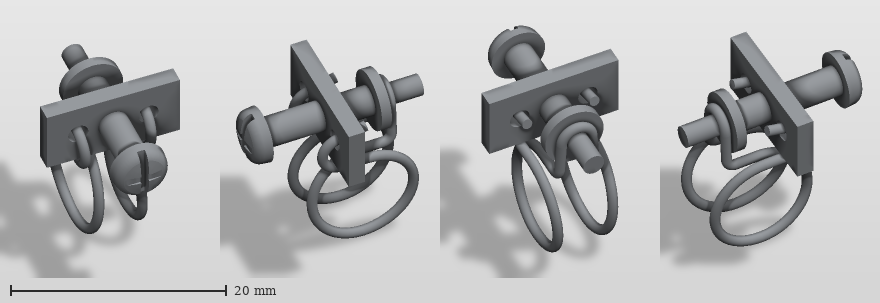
import cadquery as cq
import math


tip_radius = 1.06
shaft_radius = 1.5
collar_radius = 3.0
collar_start = 4.12
collar_thickness = 1.0
head_start = 15.98
head_radius = 2.75
flank_length = 0.86
flank_end_radius = 2.66
crown_start = 17.7
crown_start_radius = 2.03
crown_radius = 6.9
slot_width = 0.8
cross_slot_depth = 0.23

plate_start = 8.47
plate_thickness = 1.65
plate_width = 13.3
plate_height = 6.49
spring_hole_radius = 1.0
spring_hole_offset = 3.5

wire_radius = 0.5
lean = math.radians(3.8)
leg_x = collar_start - wire_radius
saddle_radius = tip_radius + wire_radius
strand_z = -4.01
leg_bend_radius = 0.92
coil_x = 6.85
coil_radius = 5.0
hook_x = 9.3
hook_radius = 2.0
tail_angle = math.radians(13.6)
tail_length = 2.88


def make_screw():
    flank_end = head_start + flank_length
    crown_sag = crown_radius - math.sqrt(crown_radius**2 - crown_start_radius**2)
    apex = crown_start + crown_sag
    half_angle = math.asin(crown_start_radius / crown_radius) / 2
    crown_middle = (
        apex - crown_radius * (1 - math.cos(half_angle)),
        crown_radius * math.sin(half_angle),
    )
    body = (
        cq.Workplane("XY")
        .lineTo(0, tip_radius)
        .lineTo(collar_start, tip_radius)
        .lineTo(collar_start, collar_radius)
        .lineTo(collar_start + collar_thickness, collar_radius)
        .lineTo(collar_start + collar_thickness, shaft_radius)
        .lineTo(head_start, shaft_radius)
        .lineTo(head_start, head_radius)
        .lineTo(flank_end, flank_end_radius)
        .tangentArcPoint((crown_start, crown_start_radius), relative=False)
        .threePointArc(crown_middle, (apex, 0))
        .close()
        .revolve(360, (0, 0, 0), (1, 0, 0))
    )
    return body.cut(make_slot(flank_end, slot_width, 2 * head_radius)).cut(
        make_slot(apex - cross_slot_depth, 2 * head_radius, slot_width)
    )


def make_slot(floor_x, width_y, width_z):
    """Cutter for a slot that is open toward +X."""
    return cq.Workplane("XY").box(
        head_radius, width_y, width_z, centered=(False, True, True)
    ).translate((floor_x, 0, 0))


def make_plate():
    return (
        cq.Workplane("YZ", origin=(plate_start, 0, 0))
        .rect(plate_width, plate_height)
        .extrude(plate_thickness)
        .cut(cq.Workplane("YZ").circle(shaft_radius).extrude(head_start))
        .cut(
            cq.Workplane("YZ")
            .pushPoints([(-spring_hole_offset, 0), (spring_hole_offset, 0)])
            .circle(spring_hole_radius)
            .extrude(head_start)
        )
    )


def make_spring_half():
    """Sweep the wire from the top of the saddle to the tail on the +Y side."""
    saddle_end_y = saddle_radius * math.cos(lean)
    saddle_end_z = saddle_radius * math.sin(lean)
    coil_bottom_z = strand_z - 2 * coil_radius * math.cos(lean)
    coil_bottom_y = saddle_end_y + (saddle_end_z - coil_bottom_z) * math.tan(lean)

    def inner(u, v):
        return cq.Vector(
            coil_x + u, coil_bottom_y - v * math.sin(lean), coil_bottom_z + v * math.cos(lean)
        )

    def outer(u, v):
        return cq.Vector(
            coil_x + u, coil_bottom_y + v * math.sin(lean), coil_bottom_z + v * math.cos(lean)
        )

    coil_top = 2 * coil_radius
    leg_u = leg_x - coil_x
    hook_u = hook_x - coil_x
    saddle_v = (saddle_end_z - coil_bottom_z) / math.cos(lean)

    saddle_top = cq.Vector(leg_x, 0, saddle_radius)
    saddle_half_angle = (math.pi / 2 - lean) / 2
    saddle_middle = cq.Vector(
        leg_x,
        saddle_radius * math.sin(saddle_half_angle),
        saddle_radius * math.cos(saddle_half_angle),
    )
    saddle_end = inner(leg_u, saddle_v)
    bend_start = inner(leg_u, coil_top + leg_bend_radius)
    bend_inset = leg_bend_radius * (1 - math.sqrt(0.5))
    bend_middle = inner(leg_u + bend_inset, coil_top + bend_inset)
    bend_end = inner(leg_u + leg_bend_radius, coil_top)
    coil_start = inner(0, coil_top)
    coil_right = inner(coil_radius, coil_radius)
    coil_bottom = inner(0, 0)
    coil_left = outer(-coil_radius, coil_radius)
    coil_end = outer(0, coil_top)
    hook_start = outer(hook_u, coil_top)
    hook_middle = outer(hook_u + hook_radius, coil_top + hook_radius)
    hook_end_u = hook_u + hook_radius * math.sin(tail_angle)
    hook_end_v = coil_top + hook_radius * (1 + math.cos(tail_angle))
    hook_end = outer(hook_end_u, hook_end_v)
    tail_end = outer(
        hook_end_u - tail_length * math.cos(tail_angle),
        hook_end_v + tail_length * math.sin(tail_angle),
    )

    path = cq.Wire.assembleEdges([
        cq.Edge.makeThreePointArc(saddle_top, saddle_middle, saddle_end),
        cq.Edge.makeLine(saddle_end, bend_start),
        cq.Edge.makeThreePointArc(bend_start, bend_middle, bend_end),
        cq.Edge.makeLine(bend_end, coil_start),
        cq.Edge.makeThreePointArc(coil_start, coil_right, coil_bottom),
        cq.Edge.makeThreePointArc(coil_bottom, coil_left, coil_end),
        cq.Edge.makeLine(coil_end, hook_start),
        cq.Edge.makeThreePointArc(hook_start, hook_middle, hook_end),
        cq.Edge.makeLine(hook_end, tail_end),
    ])
    return (
        cq.Workplane("XZ", origin=saddle_top.toTuple())
        .circle(wire_radius)
        .sweep(cq.Workplane(path))
    )


def make_spring():
    half = make_spring_half()
    return half.union(half.mirror("XZ"))


screw = make_screw()
plate = make_plate()
spring = make_spring()

result = cq.Compound.makeCompound([screw.solids().val(), plate.solids().val(), spring.solids().val()])